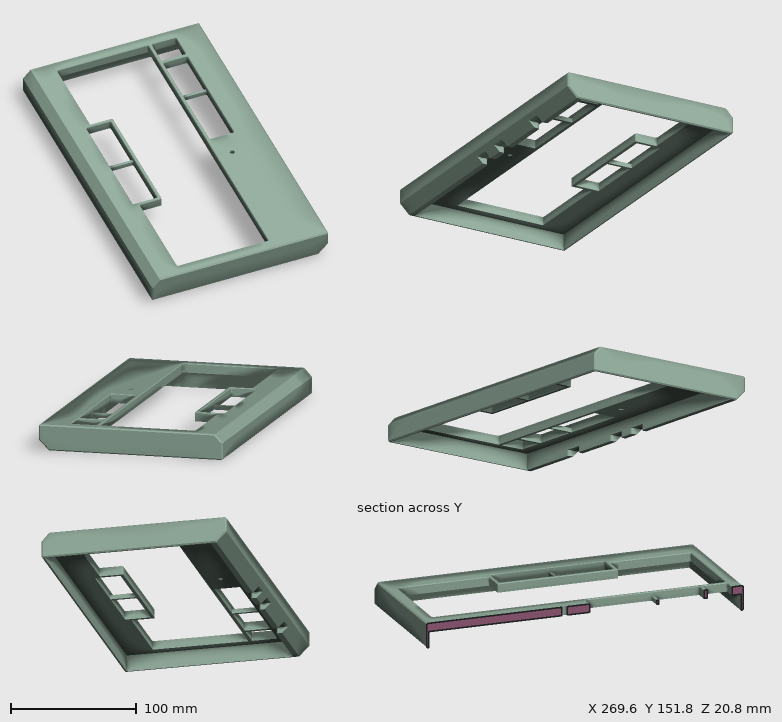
import cadquery as cq

LENGTH = 269.65
DEPTH = 151.78
HEIGHT = 20.8
FRONT_CHAMFER_RUN = 6.5
FRONT_CHAMFER_DROP = 7.0
BACK_CHAMFER = 8.4
EDGE_CHAMFER = 1.0

ROOF_THICKNESS = 7.4
SIDE_WALL = 2.2
FRONT_WALL = 2.2
BACK_WALL = 13.2
CAVITY_TOP = HEIGHT - ROOF_THICKNESS

MAIN_HALF_LENGTH = 124.9
MAIN_FRONT = -50.3
MAIN_BACK = 28.2
TOP_ROW_FRONT = 31.1
TOP_ROW_BACK = 52.0
THUMB_FRONT = -54.9
THUMB_BACK = -33.9
ESCAPE_KEY = (-MAIN_HALF_LENGTH, -104.3, TOP_ROW_FRONT, TOP_ROW_BACK)
TOP_ROW = (-101.1, -4.0, TOP_ROW_FRONT, TOP_ROW_BACK)
THUMB_ROW = (-53.3, 44.0, THUMB_FRONT, THUMB_BACK)
THUMB_RIM = 2.8
CORNER_RADIUS = 1.0
RIM_CHAMFER = 0.5

BAR_WIDTH = 2.4
BAR_TOP = HEIGHT - 3.8
TOP_ROW_BAR_X = -61.9
THUMB_BAR_X = -7.0

INDICATOR_DIAMETER = 4.01
INDICATOR_X = 17.5
INDICATOR_Y = 41.6

NOTCH_LEFT_EDGES = (-78.5, -22.9, 3.9)
NOTCH_WIDTH = 12.2
NOTCH_HEIGHT = 5.0
NOTCH_CORNER_RADIUS = 2.0


def box_between(x_range, y_range, z_range):
    """Axis-aligned box from its limits on each axis."""
    size = [high - low for low, high in (x_range, y_range, z_range)]
    origin = (x_range[0], y_range[0], z_range[0])
    return cq.Workplane("XY").box(*size, centered=False).translate(origin)


def make_body():
    """Solid case with its front and back chamfers and softened ends."""
    body = cq.Workplane("XY").box(LENGTH, DEPTH, HEIGHT, centered=(True, True, False))
    front_wedge = (
        cq.Workplane("YZ")
        .moveTo(-DEPTH / 2, HEIGHT)
        .lineTo(-DEPTH / 2 + FRONT_CHAMFER_RUN, HEIGHT)
        .lineTo(-DEPTH / 2, HEIGHT - FRONT_CHAMFER_DROP)
        .close()
        .extrude(LENGTH / 2, both=True)
    )
    body = body.cut(front_wedge)
    body = body.edges("<Z and >Y").chamfer(BACK_CHAMFER)
    body = body.edges("(<Z and <Y) or (>Z and >Y)").chamfer(EDGE_CHAMFER)
    return body.faces("<X or >X").edges().chamfer(EDGE_CHAMFER)


def make_cavity():
    """Open space under the roof."""
    half_length = LENGTH / 2 - SIDE_WALL
    y_range = (-DEPTH / 2 + FRONT_WALL, DEPTH / 2 - BACK_WALL)
    return box_between((-half_length, half_length), y_range, (0, CAVITY_TOP))


def flare(cutter):
    """Widen a cutter at the roof surface so that it leaves a chamfered rim."""
    wires = cutter.faces(">Z").wires().vals()
    rim = cq.Workplane("XY", origin=(0, 0, HEIGHT)).add(wires).toPending()
    rim = rim.offset2D(RIM_CHAMFER).extrude(-RIM_CHAMFER, taper=45)
    return cutter.union(rim)


def make_opening(left, right, front, back, floor=0):
    """Cutter for one rectangular opening with rounded corners and a chamfered rim."""
    opening = box_between((left, right), (front, back), (floor, HEIGHT))
    return flare(opening.edges("|Z").fillet(CORNER_RADIUS))


def make_divided_opening(left, right, front, back, bar_x):
    """Cutter for a long opening that leaves a recessed bar standing across it."""
    opening = make_opening(left, right, front, back, floor=BAR_TOP)
    bar_left = bar_x - BAR_WIDTH / 2
    bar_right = bar_x + BAR_WIDTH / 2
    for x_range in ((left, bar_left), (bar_right, right)):
        window = box_between(x_range, (front, back), (0, BAR_TOP))
        opening = opening.union(window.edges("|Z").fillet(CORNER_RADIUS))
    return opening


def make_main_opening():
    """Cutter for the main opening, which steps around the thumb row rim."""
    opening = box_between(
        (-MAIN_HALF_LENGTH, MAIN_HALF_LENGTH), (MAIN_FRONT, MAIN_BACK), (0, HEIGHT)
    )
    left, right, front, back = THUMB_ROW
    rim = box_between(
        (left - THUMB_RIM, right + THUMB_RIM), (front, back + THUMB_RIM), (0, HEIGHT)
    )
    return flare(opening.cut(rim).edges("|Z").fillet(CORNER_RADIUS))


def make_notch(left):
    """Cutter for a notch through the back wall, with rounded mouth corners."""
    mouth = DEPTH / 2 - BACK_WALL
    radius = NOTCH_CORNER_RADIUS
    right = left + NOTCH_WIDTH
    return (
        cq.Workplane("XY")
        .moveTo(left - radius, mouth)
        .radiusArc((left, mouth + radius), -radius)
        .lineTo(left, DEPTH / 2)
        .lineTo(right, DEPTH / 2)
        .lineTo(right, mouth + radius)
        .radiusArc((right + radius, mouth), -radius)
        .close()
        .extrude(NOTCH_HEIGHT)
    )


def make_indicator_hole():
    """Cutter for the round indicator hole."""
    hole = cq.Workplane("XY").circle(INDICATOR_DIAMETER / 2).extrude(HEIGHT)
    return hole.translate((INDICATOR_X, INDICATOR_Y, 0))


result = make_body().cut(make_cavity()).cut(make_main_opening())
result = result.cut(make_opening(*ESCAPE_KEY))
result = result.cut(make_divided_opening(*TOP_ROW, TOP_ROW_BAR_X))
result = result.cut(make_divided_opening(*THUMB_ROW, THUMB_BAR_X))
result = result.cut(make_indicator_hole())
for left_edge in NOTCH_LEFT_EDGES:
    result = result.cut(make_notch(left_edge))